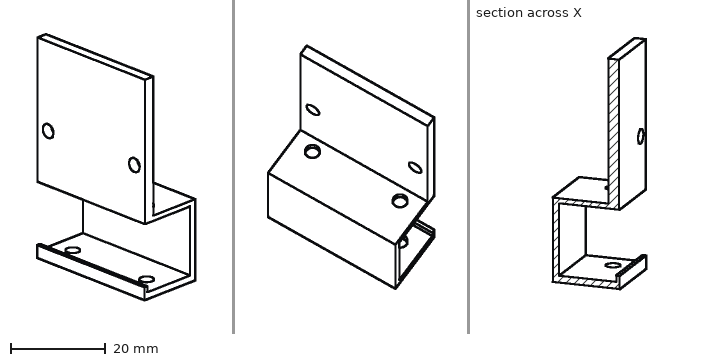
import cadquery as cq

width = 32.0
depth = 15.1
height = 50.5

back_thickness = 1.5
floor_thickness = 1.6
shelf_top = 18.65
shelf_thickness = 1.2
lip_height = 3.0
lip_thickness = 0.85

plate_thickness = 2.5
plate_setback = 0.1

hole_diameter = 3.15
plate_hole_spacing = 25.7
plate_hole_height = 30.0
channel_hole_spacing = 22.0
channel_hole_setback = 5.6

shelf_bottom = shelf_top - shelf_thickness
back_inner = depth - back_thickness
plate_back = plate_setback + plate_thickness


def bracket_body():
    """Extrude the constant cross-section (Y, Z) along X, centred on X = 0."""
    outline = [
        (0, 0),
        (depth, 0),
        (depth, shelf_top),
        (plate_back, shelf_top),
        (plate_back, height),
        (plate_setback, height),
        (plate_setback, shelf_bottom),
        (back_inner, shelf_bottom),
        (back_inner, floor_thickness),
        (lip_thickness, floor_thickness),
        (lip_thickness, lip_height),
        (0, lip_height),
    ]
    return cq.Workplane("YZ").polyline(outline).close().extrude(width / 2, both=True)


def hole_pair(plane, spacing, offset, length):
    """Two cylinders spread along X, at the given offset on the plane's second axis."""
    centers = [(-spacing / 2, offset), (spacing / 2, offset)]
    return cq.Workplane(plane).pushPoints(centers).circle(hole_diameter / 2).extrude(length)


plate_holes = hole_pair("XZ", plate_hole_spacing, plate_hole_height, -depth)

channel_holes = hole_pair("XY", channel_hole_spacing, channel_hole_setback, shelf_top)

result = bracket_body().cut(plate_holes).cut(channel_holes)